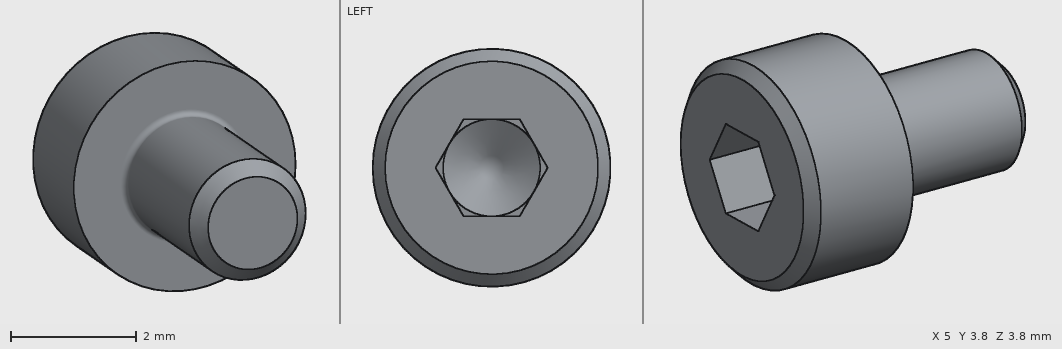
import cadquery as cq
import math

total_length = 5.0
head_length = 2.0
head_diameter = 3.8
head_chamfer = 0.2
shank_diameter = 2.0
tip_chamfer = 0.235
neck_fillet = 0.1
socket_flats = 1.55
socket_depth = 1.0
socket_cone_angle = 120.0

head_radius = head_diameter / 2
shank_radius = shank_diameter / 2
head_face_x = -total_length / 2
shoulder_x = head_face_x + head_length
tip_x = total_length / 2


def make_body():
    """Revolve the half profile of head, neck and shank about the X axis."""
    neck_mid_x = shoulder_x + neck_fillet * (1 - math.sqrt(0.5))
    neck_mid_radius = shank_radius + neck_fillet * (1 - math.sqrt(0.5))
    return (
        cq.Workplane("XY")
        .moveTo(head_face_x, 0)
        .lineTo(head_face_x, head_radius - head_chamfer)
        .lineTo(head_face_x + head_chamfer, head_radius)
        .lineTo(shoulder_x, head_radius)
        .lineTo(shoulder_x, shank_radius + neck_fillet)
        .threePointArc((neck_mid_x, neck_mid_radius), (shoulder_x + neck_fillet, shank_radius))
        .lineTo(tip_x - tip_chamfer, shank_radius)
        .lineTo(tip_x, shank_radius - tip_chamfer)
        .lineTo(tip_x, 0)
        .close()
        .revolve(360, (0, 0, 0), (1, 0, 0))
    )


def make_socket():
    """Hexagonal socket with corners on the Y axis and a conical bottom."""
    across_corners = socket_flats / math.cos(math.pi / 6)
    hexagon = (
        cq.Workplane("YZ", origin=(head_face_x, 0, 0))
        .polygon(6, across_corners)
        .extrude(socket_depth)
    )
    cone_radius = socket_flats / 2
    cone_depth = cone_radius / math.tan(math.radians(socket_cone_angle / 2))
    socket_floor_x = head_face_x + socket_depth
    cone = cq.Workplane(
        cq.Solid.makeCone(
            cone_radius, 0, cone_depth, cq.Vector(socket_floor_x, 0, 0), cq.Vector(1, 0, 0)
        )
    )
    return hexagon.union(cone)


result = make_body().cut(make_socket())